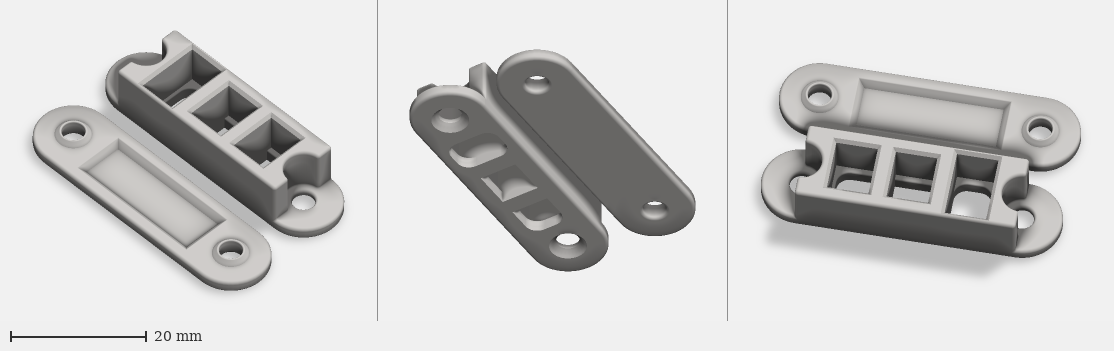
import cadquery as cq
import math

LENGTH = 45.0
DEPTH = 27.0
BODY_GAP = 3.0
HEIGHT = 9.0
PLATE_THICKNESS = 2.0

WIDTH = (DEPTH - BODY_GAP) / 2
HOLE_SPACING = LENGTH - WIDTH
BODY_OFFSET = (WIDTH + BODY_GAP) / 2
HOLE_CENTERS = [(-HOLE_SPACING / 2, 0), (HOLE_SPACING / 2, 0)]
EDGE_FILLET = 0.5
BEVEL_ANGLE = 45

HOLE_RADIUS = 3.5 / 2
HOLE_FILLET = 0.45
CONE_BASE_RADIUS = 2.8
CONE_ANGLE = math.radians(BEVEL_ANGLE)
CONE_HEIGHT = CONE_BASE_RADIUS - HOLE_RADIUS
CONE_RIM_FILLET = 0.2

NOTCH_RADIUS = 3.0
BLOCK_FOOT = PLATE_THICKNESS / 2
BASE_FILLET = 0.25

POCKET_PITCH = 8.9
POCKET_WIDTH = 6.2
POCKET_CHAMFER = 0.5
SHORT_POCKET = 7.75
LONG_POCKET = 10.2
FLOOR_THICKNESS = PLATE_THICKNESS

OPENING_REACH = 11.5
OPENING_CORNER_RADIUS = 2.0
OPENING_FILLET = 0.202
LONG_OPENING_WIDTH = 5.7
LONG_OPENING_LENGTH = 8.3
SLOT_WIDTH = 6.0

RECESS_LENGTH = 22.8
RECESS_WIDTH = 8.4
RECESS_DEPTH = 1.0
RECESS_RIM_FILLET = 0.25

PICK_MARGIN = 0.22


def plate():
    """Stadium plate with rounded top and bottom rims."""
    blank = cq.Workplane("XY").slot2D(LENGTH, WIDTH).extrude(PLATE_THICKNESS)
    return blank.faces("|Z").edges().fillet(EDGE_FILLET)


def edges_within(body, z, half_length, half_width, center=0):
    """Edges whose centres lie near height z, inside a rectangle centred on the X axis."""
    reach_x = half_length + PICK_MARGIN
    reach_y = half_width + PICK_MARGIN
    region = cq.selectors.BoxSelector(
        (center - reach_x, -reach_y, z - PICK_MARGIN),
        (center + reach_x, reach_y, z + PICK_MARGIN),
    )
    return body.edges(region)


def drill_holes(body, rim_z):
    """Screw holes through a body, with the rim at height rim_z rounded."""
    drills = cq.Workplane("XY").pushPoints(HOLE_CENTERS).circle(HOLE_RADIUS).extrude(HEIGHT)
    body = body.cut(drills)
    for x, _ in HOLE_CENTERS:
        body = edges_within(body, rim_z, 0, 0, center=x).fillet(HOLE_FILLET)
    return body


def cone():
    """45 degree cone on the XY plane, narrowing to the screw hole radius."""
    return cq.Workplane(cq.Solid.makeCone(CONE_BASE_RADIUS, HOLE_RADIUS, CONE_HEIGHT))


def boss_ring():
    """Cone standing on the plate, pierced by the screw hole and rounded at its sharp rim."""
    tangent_length = CONE_RIM_FILLET / math.tan(CONE_ANGLE / 2)
    rim_drop = tangent_length * math.cos(CONE_ANGLE)
    top = PLATE_THICKNESS + CONE_HEIGHT
    arc_center_radius = HOLE_RADIUS + CONE_RIM_FILLET
    arc_center_z = top - tangent_length
    arc_middle = (math.pi + CONE_ANGLE) / 2
    return (
        cq.Workplane("XZ")
        .moveTo(HOLE_RADIUS, PLATE_THICKNESS)
        .lineTo(CONE_BASE_RADIUS, PLATE_THICKNESS)
        .lineTo(HOLE_RADIUS + rim_drop, top - rim_drop)
        .threePointArc(
            (arc_center_radius + CONE_RIM_FILLET * math.cos(arc_middle),
             arc_center_z + CONE_RIM_FILLET * math.sin(arc_middle)),
            (HOLE_RADIUS, arc_center_z),
        )
        .close()
        .revolve(360, (0, 0, 0), (0, 1, 0))
    )


def at_holes(shape):
    """One copy of a shape at each screw hole."""
    return [shape.translate((x, y, 0)) for x, y in HOLE_CENTERS]


def block():
    """Block between the screw holes, flush with the straight sides of the plate."""
    notches = (
        cq.Workplane("XY").workplane(offset=BLOCK_FOOT)
        .pushPoints(HOLE_CENTERS).circle(NOTCH_RADIUS).extrude(HEIGHT)
    )
    body = (
        cq.Workplane("XY").workplane(offset=BLOCK_FOOT)
        .rect(HOLE_SPACING, WIDTH).extrude(HEIGHT - BLOCK_FOOT)
        .cut(notches)
    )
    return body.edges("|Z").fillet(EDGE_FILLET).faces(">Z").edges().fillet(EDGE_FILLET)


def floor_slab(opening_center, opening_length, opening_width):
    """Floor layer with one rounded opening whose upper rim is filleted."""
    opening = (
        cq.Workplane("XY").center(opening_center, 0).rect(opening_length, opening_width)
        .extrude(FLOOR_THICKNESS)
        .edges("|Z").fillet(OPENING_CORNER_RADIUS)
    )
    slab = cq.Workplane("XY").rect(LENGTH, WIDTH).extrude(FLOOR_THICKNESS).cut(opening)
    opening_rim = slab.faces(">Z").edges("not(<X or >X or <Y or >Y)")
    return opening_rim.fillet(OPENING_FILLET)


def pocket(center, pocket_length, floor):
    """Space of one pocket: a chamfered mouth, straight walls, and the opening in its floor."""
    shaft = cq.Workplane("XY").center(center, 0).rect(POCKET_WIDTH, pocket_length).extrude(HEIGHT)
    mouth = (
        cq.Workplane("XY").workplane(offset=HEIGHT).center(center, 0)
        .rect(POCKET_WIDTH + 2 * POCKET_CHAMFER, pocket_length + 2 * POCKET_CHAMFER)
        .extrude(-POCKET_CHAMFER, taper=BEVEL_ANGLE)
    )
    return shaft.cut(floor).union(mouth)


def make_housing():
    """Plate and block, with three floored pockets and two countersunk screw holes."""
    body = plate().union(block())

    foot_edges = edges_within(body, PLATE_THICKNESS, HOLE_SPACING / 2, WIDTH / 2 - EDGE_FILLET)
    body = foot_edges.fillet(BASE_FILLET)

    body = drill_holes(body, PLATE_THICKNESS)
    for seat in at_holes(cone()):
        body = body.cut(seat)

    long_opening_center = -OPENING_REACH + LONG_OPENING_WIDTH / 2
    long_floor = floor_slab(long_opening_center, LONG_OPENING_WIDTH, LONG_OPENING_LENGTH)
    slotted_floor = floor_slab(0, 2 * OPENING_REACH, SLOT_WIDTH)
    body = body.cut(pocket(-POCKET_PITCH, LONG_POCKET, long_floor))
    for center in (0, POCKET_PITCH):
        body = body.cut(pocket(center, SHORT_POCKET, slotted_floor))
    return body.translate((0, BODY_OFFSET, 0))


def make_lid():
    """Plate with two centring bosses and a shallow recess."""
    body = plate()

    recess = (
        cq.Workplane("XY").workplane(offset=PLATE_THICKNESS)
        .rect(RECESS_LENGTH, RECESS_WIDTH).extrude(-RECESS_DEPTH, taper=BEVEL_ANGLE)
    )
    body = body.cut(recess)
    recess_rim = edges_within(body, PLATE_THICKNESS, RECESS_LENGTH / 2, RECESS_WIDTH / 2)
    body = recess_rim.fillet(RECESS_RIM_FILLET)

    body = drill_holes(body, 0)

    for boss in at_holes(boss_ring()):
        body = body.union(boss)
    return body.translate((0, -BODY_OFFSET, 0))


housing = make_housing()
lid = make_lid()

result = cq.Compound.makeCompound([housing.val(), lid.val()])